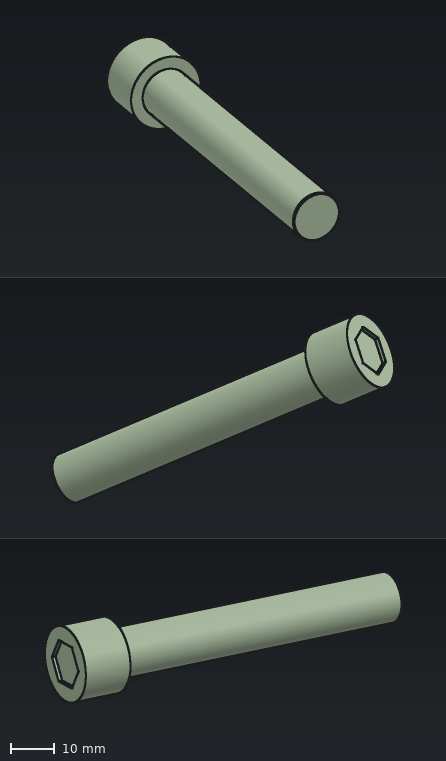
import cadquery as cq
import math

total_length = 87.0
shank_diameter = 12.0
head_diameter = 18.0
head_length = shank_diameter
socket_across_flats = 10.0
socket_depth = 1.0
tip_chamfer = 0.3

head_face_x = -total_length / 2

head_plane = cq.Workplane("YZ", origin=(head_face_x, 0, 0))

head = head_plane.circle(head_diameter / 2).extrude(head_length)
shank = head_plane.circle(shank_diameter / 2).extrude(total_length)
shank = shank.faces(">X").chamfer(tip_chamfer)

socket_across_corners = socket_across_flats / math.cos(math.radians(30))
socket = head_plane.polygon(6, socket_across_corners).extrude(socket_depth)

result = head.union(shank).cut(socket)